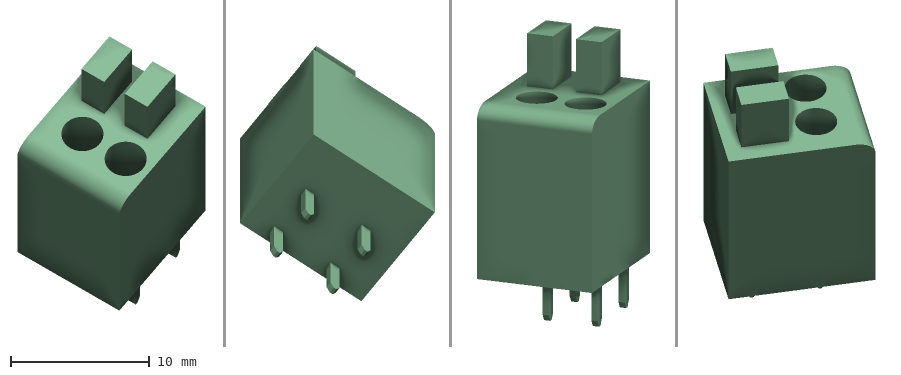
import cadquery as cq

body_width = 8.98
body_depth = 10.8
body_height = 12.97
nose_depth = 1.5
nose_height = 1.0

pole_count = 2
pole_pitch = 3.8

key_width = 2.0
key_depth = 3.5
key_left = 1.37
key_back_gap = 1.23

entry_diameter = 3.03
entry_x = 3.1
entry_y = 3.72
entry_floor_height = 5.0

pin_thickness = 0.5
pin_width = 0.8
pin_length = 3.5
pin_tip_width = 0.25
pin_tip_length = 0.5
pin_x = 4.17
pin_row_pitch = 5.03
rear_pin_y = body_depth - 2.52
pin_rows = (rear_pin_y, rear_pin_y - pin_row_pitch)

overall_height = 20.45
key_height = overall_height - body_height - pin_length

overlap = 0.2


def make_body():
    """Housing extruded along X, with an elliptical top front edge."""
    return (
        cq.Workplane("YZ")
        .moveTo(nose_depth, body_height)
        .lineTo(body_depth, body_height)
        .lineTo(body_depth, 0)
        .lineTo(0, 0)
        .lineTo(0, body_height - nose_height)
        .ellipseArc(nose_depth, nose_height, 90, 180, startAtCurrent=True, sense=-1)
        .close()
        .extrude(body_width)
    )


def make_key(offset):
    """Rectangular release key standing on the top face."""
    key_front = body_depth - key_back_gap - key_depth
    return cq.Workplane("XY").box(
        key_width, key_depth, key_height + overlap, centered=False
    ).translate((key_left + offset, key_front, body_height - overlap))


def make_entry(offset):
    """Cylinder to cut for one wire entry."""
    return (
        cq.Workplane("XY", origin=(entry_x + offset, entry_y, entry_floor_height))
        .circle(entry_diameter / 2)
        .extrude(body_height - entry_floor_height)
    )


def make_pin(offset, center_y):
    """Flat pin below the housing, tapered in Y at its tip."""
    half_width = pin_width / 2
    half_tip = pin_tip_width / 2
    shoulder_z = pin_tip_length - pin_length
    return (
        cq.Workplane("YZ", origin=(pin_x + offset - pin_thickness / 2, center_y, 0))
        .moveTo(-half_width, overlap)
        .lineTo(-half_width, shoulder_z)
        .lineTo(-half_tip, -pin_length)
        .lineTo(half_tip, -pin_length)
        .lineTo(half_width, shoulder_z)
        .lineTo(half_width, overlap)
        .close()
        .extrude(pin_thickness)
    )


result = make_body()
for pole in range(pole_count):
    pole_offset = pole * pole_pitch
    result = result.union(make_key(pole_offset))
    result = result.cut(make_entry(pole_offset))
    for row_y in pin_rows:
        result = result.union(make_pin(pole_offset, row_y))